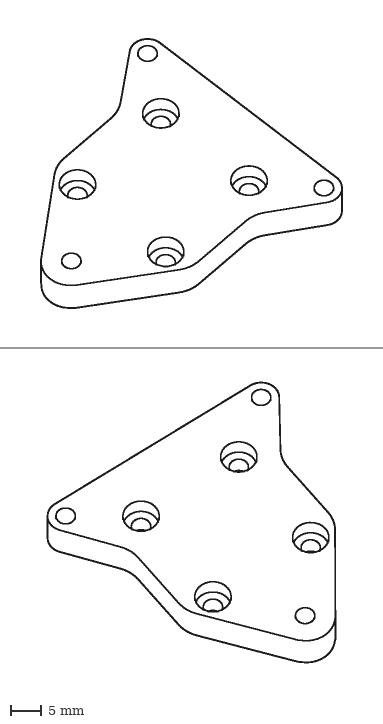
import cadquery as cq
import math

length = 47.5
thickness = 6.35
body_half_width = 15.3
neck_corner_y = 32.65
shoulder_corner_y = 17.55
side_blend_radius = 6.0

ear_radius = 3.0
ear_x = 20.0
ear_y = length - ear_radius

flank_end = (3.85, 1.85)
tip_arc_end = (3.5, 1.55)

hole_diameter = 3.2
tip_hole_y = 5.1
counterbore_diameter = 6.0
counterbore_depth = 3.0
bolt_spacing = 20.0
bolt_center_y = 27.15


def mirrored(point):
    return (-point[0], point[1])


def ear_point(angle):
    return (ear_x + ear_radius * math.cos(angle), ear_y + ear_radius * math.sin(angle))


def make_plate():
    neck = (body_half_width, neck_corner_y)
    shoulder = (body_half_width, shoulder_corner_y)
    run_x = ear_x - body_half_width
    run_y = ear_y - neck_corner_y
    center_distance = math.hypot(run_x, run_y)
    flank_angle = math.atan2(run_y, run_x) - math.asin(ear_radius / center_distance)
    tangent_angle = flank_angle - math.pi / 2
    ear_tangent = ear_point(tangent_angle)
    ear_middle = ear_point((tangent_angle + math.pi / 2) / 2)
    ear_top = (ear_x, length)

    plate = (
        cq.Workplane("XY")
        .moveTo(*mirrored(tip_arc_end))
        .threePointArc((0, 0), tip_arc_end)
        .lineTo(*flank_end)
        .lineTo(*shoulder)
        .lineTo(*neck)
        .lineTo(*ear_tangent)
        .threePointArc(ear_middle, ear_top)
        .lineTo(*mirrored(ear_top))
        .threePointArc(mirrored(ear_middle), mirrored(ear_tangent))
        .lineTo(*mirrored(neck))
        .lineTo(*mirrored(shoulder))
        .lineTo(*mirrored(flank_end))
        .close()
        .extrude(thickness)
    )

    for corner in (shoulder, neck, mirrored(shoulder), mirrored(neck)):
        edge = cq.selectors.NearestToPointSelector((*corner, thickness / 2))
        plate = plate.edges("|Z").edges(edge).fillet(side_blend_radius)
    return plate


def drill_mounting_holes(plate):
    centers = [(-ear_x, ear_y), (ear_x, ear_y), (0, tip_hole_y)]
    top = cq.Workplane("XY", origin=(0, 0, thickness))
    holes = top.pushPoints(centers).circle(hole_diameter / 2).extrude(-thickness)
    return plate.cut(holes)


def drill_counterbored_holes(plate):
    top = cq.Workplane("XY", origin=(0, bolt_center_y, thickness))
    pattern = top.rarray(bolt_spacing, bolt_spacing, 2, 2)
    holes = pattern.circle(hole_diameter / 2).extrude(-thickness)
    counterbores = pattern.circle(counterbore_diameter / 2).extrude(-counterbore_depth)
    return plate.cut(holes).cut(counterbores)


result = drill_counterbored_holes(drill_mounting_holes(make_plate()))